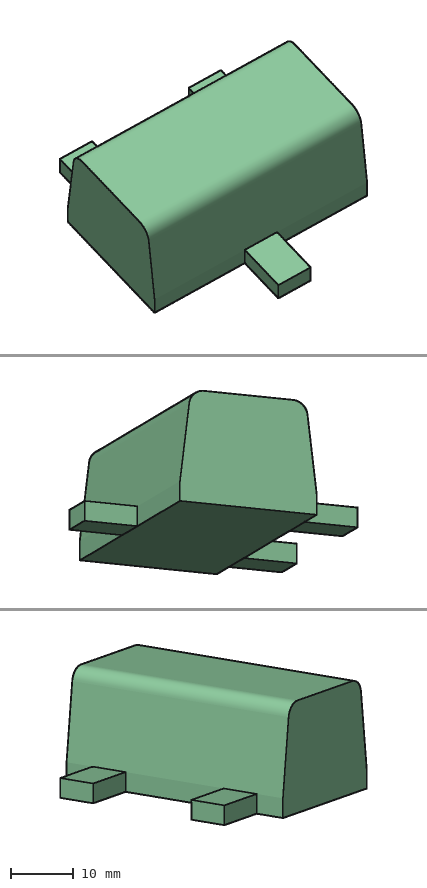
import cadquery as cq
import math

overall_width = 41.9
housing_length = 41.9
housing_height = 18.52

housing_width = 23.65
base_height = 3.25
draft_angle = 7.0
top_edge_radius = 2.55

lead_width = 6.35
lead_thickness = base_height
lead_length = (overall_width - housing_width) / 2
lead_pitch = 25.4


def make_housing():
    """Prism with a vertical base, drafted sides and rounded long top edges."""
    half_base = housing_width / 2
    draft_inset = (housing_height - base_height) * math.tan(math.radians(draft_angle))
    half_top = half_base - draft_inset
    profile = [
        (-half_base, 0),
        (half_base, 0),
        (half_base, base_height),
        (half_top, housing_height),
        (-half_top, housing_height),
        (-half_base, base_height),
    ]
    prism = cq.Workplane("XZ").polyline(profile).close().extrude(housing_length / 2, both=True)
    return prism.faces(">Z").edges("|Y").fillet(top_edge_radius)


def make_lead(side, y_center):
    """Flat lead against the housing base; side is -1 for -X and +1 for +X."""
    x_center = side * (housing_width + lead_length) / 2
    return (
        cq.Workplane("XY")
        .box(lead_length, lead_width, lead_thickness, centered=(True, True, False))
        .translate((x_center, y_center, 0))
    )


lead_places = [(-1, -lead_pitch / 2), (-1, lead_pitch / 2), (1, 0)]

housing = make_housing()
leads = [make_lead(side, y_center) for side, y_center in lead_places]

result = cq.Compound.makeCompound([housing.val(), *[lead.val() for lead in leads]])